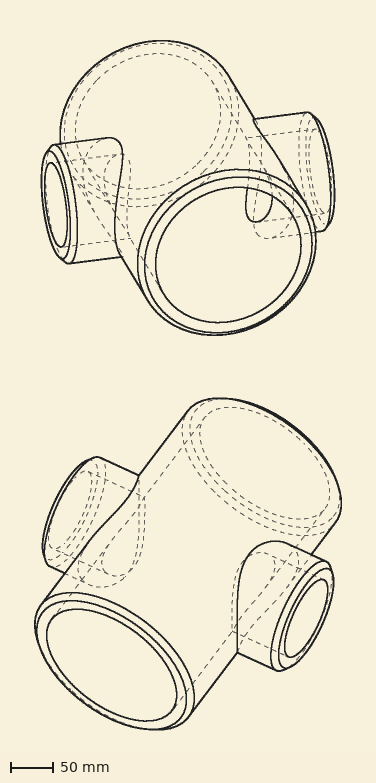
import cadquery as cq

run_length = 355.5
run_diameter = 219.0
run_bore = 178.5

branch_span = 324.0
branch_diameter = 142.0
branch_bore = 100.3

end_chamfer = 6.8


def bevelled_cylinder(plane, diameter, length):
    """Cylinder centred on the origin with both end edges bevelled."""
    cylinder = cq.Workplane(plane).circle(diameter / 2).extrude(length / 2, both=True)
    return cylinder.edges("%CIRCLE").chamfer(end_chamfer)


def through_bore(plane, diameter, length):
    """Cutting cylinder centred on the origin."""
    return cq.Workplane(plane).circle(diameter / 2).extrude(length / 2, both=True)


body = bevelled_cylinder("YZ", run_diameter, run_length)
body = body.union(bevelled_cylinder("XZ", branch_diameter, branch_span))

body = body.cut(through_bore("YZ", run_bore, run_length))
result = body.cut(through_bore("XZ", branch_bore, branch_span))